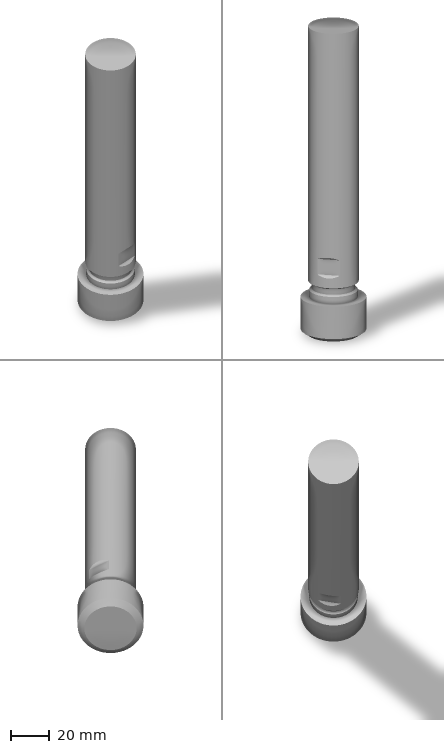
import cadquery as cq
import math

total_height = 167.5
head_radius = 17.0
head_top = 20.1
head_chamfer_height = 2.5
head_chamfer_width = 3.5

collar_radius = 12.5
collar_top = 24.0
groove_radius = 11.2
groove_wall_slope = math.tan(math.radians(30))
groove_bottom = collar_top + (collar_radius - groove_radius) * groove_wall_slope
shaft_radius = 13.0
shaft_bottom = 28.8
groove_top = shaft_bottom - (shaft_radius - groove_radius) * groove_wall_slope

flat_spacing = 23.3
flat_bottom = 35.5
flat_top = 43.9
cutter_overrun = 1.7


def turned_body():
    """Revolve the half profile about the Z axis."""
    profile = [
        (0, 0),
        (head_radius - head_chamfer_width, 0),
        (head_radius, head_chamfer_height),
        (head_radius, head_top),
        (collar_radius, head_top),
        (collar_radius, collar_top),
        (groove_radius, groove_bottom),
        (groove_radius, groove_top),
        (shaft_radius, shaft_bottom),
        (shaft_radius, total_height),
        (0, total_height),
    ]
    return cq.Workplane("XZ").polyline(profile).close().revolve(360, (0, 0), (0, 1))


def flat_cutter(side):
    """Trapezoid prism that cuts one flat; side is +1 or -1 along X."""
    inner_x = flat_spacing / 2
    outer_x = shaft_radius + cutter_overrun
    flare = outer_x - inner_x
    outline = [
        (side * inner_x, flat_bottom),
        (side * outer_x, flat_bottom - flare),
        (side * outer_x, flat_top + flare),
        (side * inner_x, flat_top),
    ]
    return cq.Workplane("XZ").polyline(outline).close().extrude(shaft_radius, both=True)


result = turned_body()
for side in (-1, 1):
    result = result.cut(flat_cutter(side))